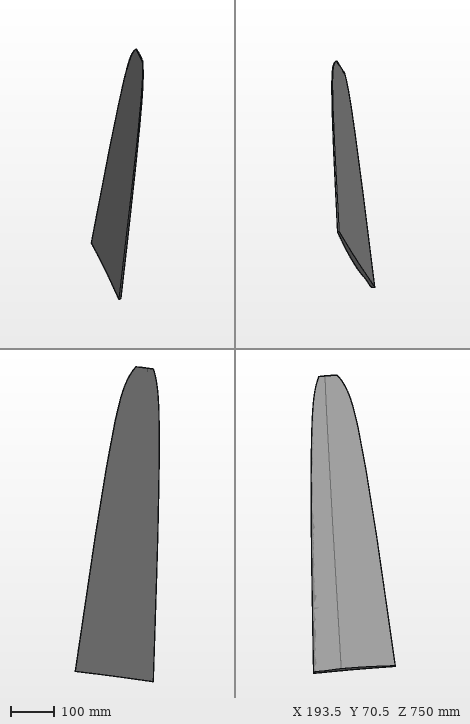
import cadquery as cq
import math

SPAN = 750.0
LEAN = 67.5

THICKNESS = 0.07
CREST_PLACE = 0.65
TRAILING_THICKNESS = 0.024
HOLLOW_DEPTH = 0.009
NOSE_HEIGHT = 0.012

ROOT_CHORD = 193.5
TRAILING_SWEEP = 85.5
TRAILING_TAPER = 17.0
TRAILING_TIP_ROUNDING = 22.5
LEADING_TAPER = 13.0
LEADING_TIP_ROUNDING = 12.0
TAPER_POWER = 4
TIP_POWER = 20
SECTION_COUNT = 41


def trailing_edge_x(part_of_span):
    taper = TRAILING_TAPER * part_of_span**TAPER_POWER
    rounding = TRAILING_TIP_ROUNDING * part_of_span**TIP_POWER
    return TRAILING_SWEEP * part_of_span + taper + rounding


def leading_edge_x(part_of_span):
    taper = LEADING_TAPER * part_of_span**TAPER_POWER
    rounding = LEADING_TIP_ROUNDING * part_of_span**TIP_POWER
    return ROOT_CHORD - taper - rounding


def foil_section(part_of_span):
    """Closed foil outline at one height: blunt trailing edge, domed back, hollow underside."""
    trailing_x = trailing_edge_x(part_of_span)
    chord = leading_edge_x(part_of_span) - trailing_x
    chord_line_y = LEAN * part_of_span

    def place(along, above):
        return (trailing_x + along * chord, chord_line_y + above * chord)

    trailing_bottom = place(0, 0)
    trailing_top = place(0, TRAILING_THICKNESS)
    crest = place(CREST_PLACE, THICKNESS)
    nose = place(1, NOSE_HEIGHT)
    shoulder = place(
        CREST_PLACE + (1 - CREST_PLACE) * math.sqrt(0.5),
        NOSE_HEIGHT + (THICKNESS - NOSE_HEIGHT) * math.sqrt(0.5),
    )
    hollow = place(0.5, NOSE_HEIGHT / 2 + HOLLOW_DEPTH)

    back_start = (CREST_PLACE, 2 * (THICKNESS - TRAILING_THICKNESS))
    level = (1, 0)
    towards_underside = (0, -1)

    outline = (
        cq.Workplane("XY", origin=(0, 0, SPAN * part_of_span))
        .moveTo(*trailing_bottom)
        .lineTo(*trailing_top)
        .spline([crest], tangents=[back_start, level], includeCurrent=True)
        .spline([shoulder, nose], tangents=[level, towards_underside], includeCurrent=True)
        .threePointArc(hollow, trailing_bottom)
        .close()
    )
    return outline.val()


sections = [foil_section(index / (SECTION_COUNT - 1)) for index in range(SECTION_COUNT)]
result = cq.Workplane(cq.Solid.makeLoft(sections))